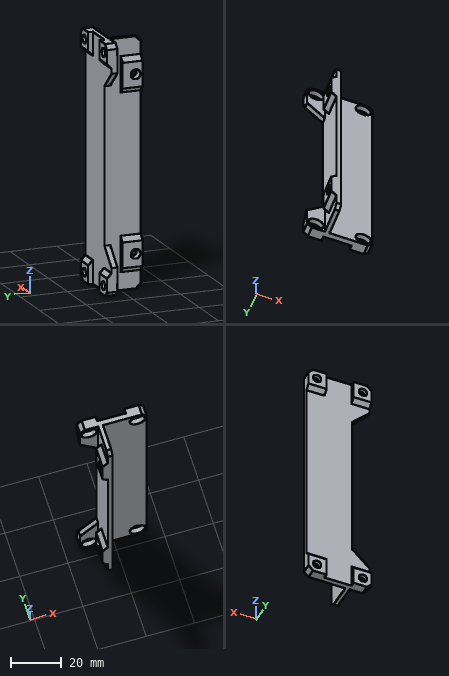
import cadquery as cq

length = 104.0
width = 27.6
depth = 17.5

plate_thickness = 2.5
foot_height = 2.0
foot_width = 7.9
foot_length = 7.9
corner_chamfer = 2.0
ear_straight_length = 12.0
ear_length = 19.1

fin_left = 7.5
fin_thickness = 2.0
fin_chamfer = 2.0

pad_height = 2.2
pad_depth = 8.6
pad_length = 15.0
pad_center = 15.0
pad_hole_diameter = 4.0
pad_hole_inset = 3.0

screw_diameter = 3.4
counterbore_diameter = 6.3
counterbore_depth = 2.5
screw_spacing = 20.0
screw_end_inset = 4.0

plate_back = depth - foot_height
plate_front = plate_back - plate_thickness


def make_plate():
    """Full-depth plate with two left ears and chamfered corners."""
    outline = [
        (corner_chamfer, 0),
        (width - corner_chamfer, 0),
        (width, corner_chamfer),
        (width, length - corner_chamfer),
        (width - corner_chamfer, length),
        (corner_chamfer, length),
        (0, length - corner_chamfer),
        (0, length - ear_straight_length),
        (fin_left, length - ear_length),
        (fin_left, ear_length),
        (0, ear_straight_length),
        (0, corner_chamfer),
    ]
    return (
        cq.Workplane("XZ", origin=(0, depth, 0))
        .polyline(outline)
        .close()
        .extrude(depth - plate_front)
    )


def cut_back_relief(body):
    """Lower the back face so that only the four corner feet stand proud."""
    channel = cq.Workplane("XY").box(
        width - 2 * foot_width, foot_height, length, centered=False
    ).translate((foot_width, plate_back, 0))
    slope_end = foot_length + foot_height
    side_relief = (
        cq.Workplane("YZ")
        .polyline([
            (plate_back, slope_end),
            (depth, foot_length),
            (depth, length - foot_length),
            (plate_back, length - slope_end),
        ])
        .close()
        .extrude(width)
    )
    return body.cut(channel).cut(side_relief)


def make_fin():
    """Thin fin with chamfered front corners, running the length of the plate."""
    outline = [
        (plate_back, 0),
        (fin_chamfer, 0),
        (0, fin_chamfer),
        (0, length - fin_chamfer),
        (fin_chamfer, length),
        (plate_back, length),
    ]
    return (
        cq.Workplane("YZ", origin=(fin_left, 0, 0))
        .polyline(outline)
        .close()
        .extrude(fin_thickness)
    )


def make_pad(center_z):
    """Pad with 45 degree ends, flush with the front edge of the fin."""
    half_base = pad_length / 2
    half_top = half_base - pad_height
    pad_left = fin_left - pad_height
    outline = [
        (fin_left, center_z - half_base),
        (pad_left, center_z - half_top),
        (pad_left, center_z + half_top),
        (fin_left, center_z + half_base),
    ]
    return cq.Workplane("XZ").polyline(outline).close().extrude(-pad_depth)


def cut_pad_hole(body, center_z):
    """Drill through one pad and the fin behind it."""
    hole = (
        cq.Workplane("YZ", origin=(fin_left - pad_height, 0, 0))
        .center(pad_hole_inset, center_z)
        .circle(pad_hole_diameter / 2)
        .extrude(pad_height + fin_thickness)
    )
    return body.cut(hole)


def cut_screw_holes(body):
    """Drill the four corners and counterbore them from the front face."""
    return (
        body.copyWorkplane(cq.Workplane("XZ", origin=(width / 2, plate_front, length / 2)))
        .rarray(screw_spacing, length - 2 * screw_end_inset, 2, 2)
        .cboreHole(screw_diameter, counterbore_diameter, counterbore_depth)
    )


result = cut_back_relief(make_plate())
result = cut_screw_holes(result)
result = result.union(make_fin())
for pad_z in (pad_center, length - pad_center):
    result = result.union(make_pad(pad_z))
    result = cut_pad_hole(result, pad_z)